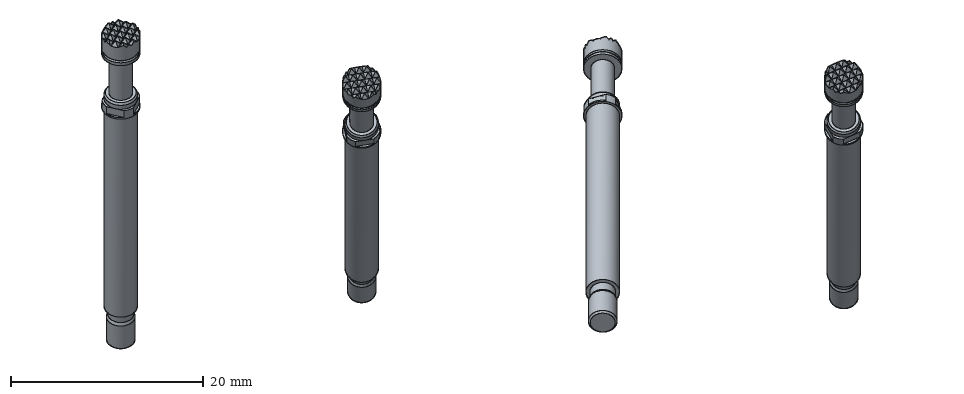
import cadquery as cq
import math

head_radius = 2.0
head_groove_radius = 1.85
plunger_radius = 1.25
barrel_radius = 1.75
neck_radius = 1.35
tail_radius = 1.5
collar_radius = 2.0
collar_flat_distance = barrel_radius

tail_top = 3.35
neck_bottom = 3.7
barrel_bottom = 4.8
flange_bottom = 32.6
collar_bottom = 32.8
collar_top = 33.75
barrel_top = 34.55
head_bottom = 40.05
head_groove_bottom = 40.45
head_groove_top = 40.75
head_groove_deepest = 40.58
tip_height = 43.1

tail_chamfer_width = 0.2
tail_chamfer_height = 0.2
barrel_chamfer_width = 0.15
barrel_chamfer_height = 0.25

tooth_pitch = 0.8
tooth_angle = 70
teeth_across = 5
tooth_depth = tooth_pitch / 2 / math.tan(math.radians(tooth_angle / 2))
tooth_root = tip_height - tooth_depth


def turned_body():
    """Tail, neck, barrel, plunger and head as one solid of revolution."""
    profile = [
        (0, 0),
        (tail_radius - tail_chamfer_width, 0),
        (tail_radius, tail_chamfer_height),
        (tail_radius, tail_top),
        (neck_radius, neck_bottom),
        (neck_radius, barrel_bottom),
        (barrel_radius, barrel_bottom),
        (barrel_radius, barrel_top - barrel_chamfer_height),
        (barrel_radius - barrel_chamfer_width, barrel_top),
        (plunger_radius, barrel_top),
        (plunger_radius, head_bottom),
        (head_radius, head_bottom),
        (head_radius, head_groove_bottom),
        (head_groove_radius, head_groove_deepest),
        (head_radius, head_groove_top),
        (head_radius, tip_height),
        (0, tip_height),
    ]
    return cq.Workplane("XZ").polyline(profile).close().revolve(360, (0, 0), (0, 1))


def collar():
    """Round collar with four flats, standing on a thin full-round flange."""
    flange = (
        cq.Workplane("XY")
        .workplane(offset=flange_bottom)
        .circle(collar_radius)
        .extrude(collar_bottom - flange_bottom)
    )
    collar_height = collar_top - collar_bottom
    collar_plane = cq.Workplane("XY").workplane(offset=collar_bottom)
    ring = collar_plane.circle(collar_radius).extrude(collar_height)
    square = collar_plane.rect(2 * collar_flat_distance, 2 * collar_flat_distance).extrude(collar_height)
    return flange.union(ring.intersect(square))


def toothed_block(plane):
    """Prism as wide as the head and as tall as the probe, with a sawtooth top."""
    half_width = teeth_across * tooth_pitch / 2
    points = [(-half_width, tooth_root)]
    for index in range(teeth_across):
        left_root = -half_width + index * tooth_pitch
        points.append((left_root + tooth_pitch / 2, tip_height))
        points.append((left_root + tooth_pitch, tooth_root))
    points.append((half_width, 0))
    points.append((-half_width, 0))
    return cq.Workplane(plane).polyline(points).close().extrude(half_width, both=True)


result = turned_body().union(collar())
for plane in ("XZ", "YZ"):
    result = result.intersect(toothed_block(plane))